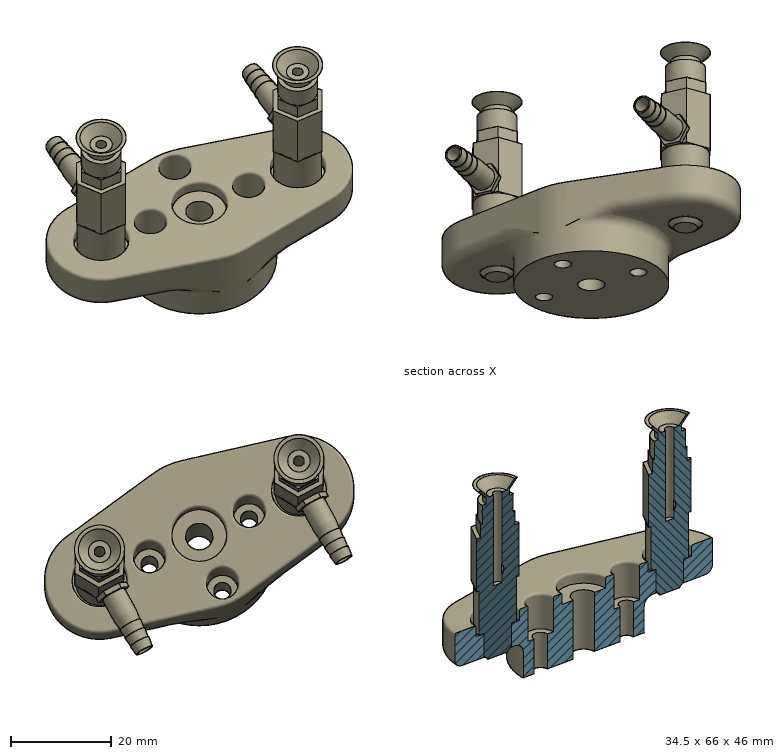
import cadquery as cq
import math

LENGTH = 66.0
END_RADIUS = 11.0
HUB_RADIUS = 15.5
BASE_HEIGHT = 16.0
PLATE_BOTTOM = 8.0
TOP_ROUND = 0.6
BOTTOM_ROUND = 2.0

EDGE_TOLERANCE = 0.05

PORT_Y = LENGTH / 2 - END_RADIUS
PORTS = (-PORT_Y, PORT_Y)

SEAT_RADIUS = 5.5
SEAT_DEPTH = 2.5
CENTRE_HOLE_RADIUS = 2.7
SCREW_OFFSET = PORT_Y / 2
SCREW_HOLE_RADIUS = 1.7
SCREW_HEAD_RADIUS = 3.2
SCREW_HEAD_DEPTH = BASE_HEIGHT - PLATE_BOTTOM
HOLE_ROUND = 0.5

STEM_RADIUS = 4.8
SHANK_RADIUS = 3.4
SHANK_BOTTOM = 7.2
SHANK_CHAMFER = 1.0
SEAT_FLOOR = BASE_HEIGHT - SEAT_DEPTH
LARGE_HEX_FLATS = 9.8
LARGE_HEX_BOTTOM = 23.5
LARGE_HEX_TOP = 35.5
SMALL_HEX_FLATS = 7.9
SMALL_HEX_TOP = 38.5
COLLAR_RADIUS = 4.0
COLLAR_TOP = 42.65
NECK_RADIUS = 3.05
NECK_TOP = 44.0
CUP_RADIUS = 5.0
CUP_TOP = 46.0
CUP_INNER_RADIUS = 4.2
CUP_FLOOR_RADIUS = 2.25
AIR_BORE_RADIUS = 1.05
HALF_HEX_ANGLE = 30
TURN = 3.5

BARB_Z = 26.45
BARB_REACH = 18.9
NUT_FLATS = 6.0
NUT_THICKNESS = 1.05
TUBE_RADIUS = 2.5
BARB_BORE_RADIUS = 1.5
BARB_COUNT = 4
BARB_PITCH = 2.0
BARB_RISE = 0.25
BARB_STEP = 0.1
FACE_X = LARGE_HEX_FLATS / 2


def across_corners(across_flats):
    """Distance across the corners of a hexagon."""
    return across_flats / math.cos(math.radians(HALF_HEX_ANGLE))


def rod(radius, bottom, top, x=0.0, y=0.0):
    """Vertical cylinder between two heights."""
    return cq.Workplane("XY", origin=(x, y, bottom)).circle(radius).extrude(top - bottom)


def plate():
    """Plate whose sides run tangent from the hub circle to the end circles."""
    slope = math.asin((HUB_RADIUS - END_RADIUS) / PORT_Y)
    hub_x, hub_y = HUB_RADIUS * math.cos(slope), HUB_RADIUS * math.sin(slope)
    end_x, end_y = END_RADIUS * math.cos(slope), PORT_Y + END_RADIUS * math.sin(slope)
    return (
        cq.Workplane("XY", origin=(0, 0, PLATE_BOTTOM))
        .moveTo(hub_x, hub_y)
        .lineTo(end_x, end_y)
        .threePointArc((0, LENGTH / 2), (-end_x, end_y))
        .lineTo(-hub_x, hub_y)
        .threePointArc((-HUB_RADIUS, 0), (-hub_x, -hub_y))
        .lineTo(-end_x, -end_y)
        .threePointArc((0, -LENGTH / 2), (end_x, -end_y))
        .lineTo(hub_x, -hub_y)
        .threePointArc((HUB_RADIUS, 0), (hub_x, hub_y))
        .close()
        .extrude(BASE_HEIGHT - PLATE_BOTTOM)
    )


def stepped_hole(x, y, hole_radius, head_radius, head_depth):
    """Cutter for a counterbored through hole with a rounded mouth."""
    mouth = rod(head_radius + HOLE_ROUND, BASE_HEIGHT - HOLE_ROUND, BASE_HEIGHT, x, y)
    ring = (
        cq.Workplane("XZ", origin=(x, y, 0))
        .center(head_radius + HOLE_ROUND, BASE_HEIGHT - HOLE_ROUND)
        .circle(HOLE_ROUND)
        .revolve(360, (-head_radius - HOLE_ROUND, 0, 0), (-head_radius - HOLE_ROUND, 1, 0))
    )
    head = rod(head_radius, BASE_HEIGHT - head_depth, BASE_HEIGHT, x, y)
    return mouth.cut(ring).union(head).union(rod(hole_radius, 0, BASE_HEIGHT, x, y))


def hub_corner():
    """Concave flare between hub and plate, trimmed to the plate outline."""
    low = PLATE_BOTTOM - BOTTOM_ROUND
    flare = (
        cq.Workplane("XZ")
        .moveTo(0, low)
        .lineTo(HUB_RADIUS, low)
        .radiusArc((HUB_RADIUS + BOTTOM_ROUND, PLATE_BOTTOM), BOTTOM_ROUND)
        .lineTo(0, PLATE_BOTTOM)
        .close()
        .revolve(360, (0, 0, 0), (0, 1, 0))
    )
    return flare.intersect(plate().translate((0, 0, -BOTTOM_ROUND)))


def make_base():
    """Plate on its hub, with the column seats and screw holes cut."""
    body = plate().union(hub_corner()).union(rod(HUB_RADIUS, 0, PLATE_BOTTOM))
    body = body.faces(">Z").edges().fillet(TOP_ROUND)
    lower_edges = cq.selectors.BoxSelector(
        (-LENGTH, -LENGTH, PLATE_BOTTOM - EDGE_TOLERANCE),
        (LENGTH, LENGTH, PLATE_BOTTOM + EDGE_TOLERANCE),
    )
    body = body.edges(lower_edges).edges("%LINE").fillet(BOTTOM_ROUND)
    body = body.cut(stepped_hole(0, 0, CENTRE_HOLE_RADIUS, SEAT_RADIUS, SEAT_DEPTH))
    for x, y in [(0, SCREW_OFFSET), (0, -SCREW_OFFSET), (-SCREW_OFFSET, 0)]:
        body = body.cut(stepped_hole(x, y, SCREW_HOLE_RADIUS, SCREW_HEAD_RADIUS, SCREW_HEAD_DEPTH))
    for y in PORTS:
        body = body.cut(stepped_hole(0, y, SHANK_RADIUS, SEAT_RADIUS, SEAT_DEPTH))
    return body


def hex_prism(across_flats, bottom, top):
    """Upright hexagon with flats facing +X and -X."""
    outline = cq.Workplane("XY", origin=(0, 0, bottom)).polygon(6, across_corners(across_flats))
    return outline.extrude(top - bottom).rotate((0, 0, 0), (0, 0, 1), HALF_HEX_ANGLE)


def place(body, y):
    """Turn a body about the column axis and move it to its place along Y."""
    return body.rotate((0, 0, 0), (0, 0, 1), TURN).translate((0, y, 0))


def make_column(y):
    """Stem with two hexagons and a suction cup on top."""
    body = rod(SHANK_RADIUS, SHANK_BOTTOM, SEAT_FLOOR).faces("<Z").chamfer(SHANK_CHAMFER)
    body = body.union(rod(STEM_RADIUS, SEAT_FLOOR, LARGE_HEX_BOTTOM))
    body = body.union(hex_prism(LARGE_HEX_FLATS, LARGE_HEX_BOTTOM, LARGE_HEX_TOP))
    body = body.union(hex_prism(SMALL_HEX_FLATS, LARGE_HEX_TOP, SMALL_HEX_TOP))
    body = body.union(rod(COLLAR_RADIUS, SMALL_HEX_TOP, COLLAR_TOP))
    body = body.union(rod(NECK_RADIUS, COLLAR_TOP, NECK_TOP))
    cup = (
        cq.Workplane("XZ")
        .polyline([
            (CUP_FLOOR_RADIUS, NECK_TOP),
            (NECK_RADIUS, NECK_TOP),
            (CUP_RADIUS, CUP_TOP),
            (CUP_INNER_RADIUS, CUP_TOP),
        ])
        .close()
        .revolve(360, (0, 0, 0), (0, 1, 0))
    )
    body = body.union(cup)
    body = body.cut(rod(AIR_BORE_RADIUS, LARGE_HEX_BOTTOM, NECK_TOP))
    side_port = cq.Workplane("YZ", origin=(-FACE_X, 0, BARB_Z)).circle(BARB_BORE_RADIUS).extrude(FACE_X)
    return place(body.cut(side_port), y)


def make_barb(y):
    """Hose barb with a hexagonal nut seated on the flat of the large hexagon."""
    outline = [(-BARB_REACH, BARB_BORE_RADIUS)]
    root_radius = TUBE_RADIUS - BARB_RISE - (BARB_COUNT - 1) * BARB_STEP
    for i in range(BARB_COUNT):
        start_x = -BARB_REACH + i * BARB_PITCH
        start_radius = root_radius + i * BARB_STEP
        outline.append((start_x, start_radius))
        outline.append((start_x + BARB_PITCH, start_radius + BARB_RISE))
    outline += [(-FACE_X, TUBE_RADIUS), (-FACE_X, BARB_BORE_RADIUS)]
    tube = cq.Workplane("XZ").polyline(outline).close().revolve(360, (0, 0, 0), (1, 0, 0))
    nut = (
        cq.Workplane("YZ", origin=(-FACE_X - NUT_THICKNESS, 0, 0))
        .polygon(6, across_corners(NUT_FLATS))
        .circle(BARB_BORE_RADIUS)
        .extrude(NUT_THICKNESS)
    )
    return place(tube.union(nut).translate((0, 0, BARB_Z)), y)


base = make_base()
columns = [make_column(y) for y in PORTS]
barbs = [make_barb(y) for y in PORTS]

result = cq.Compound.makeCompound([body.val() for body in [base, *columns, *barbs]])